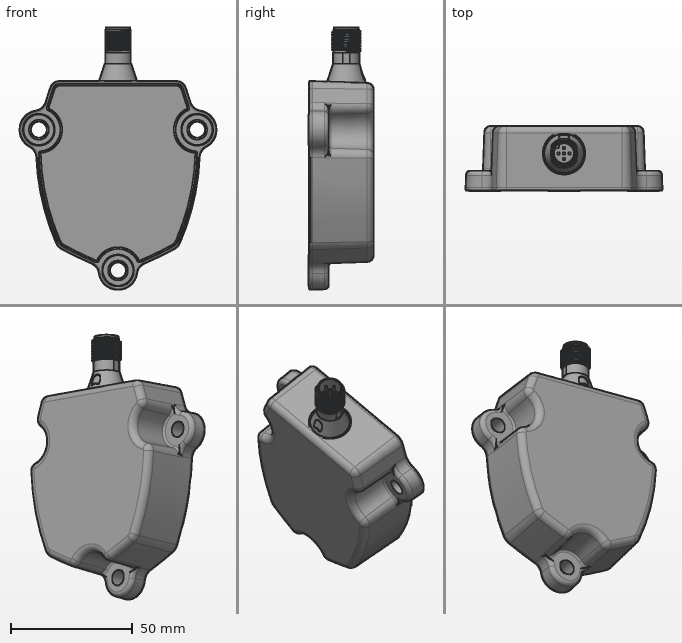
import cadquery as cq
import math

total_width = 81.0
total_depth = 27.0
total_height = 107.8

lug_radius = 8.0
lug_x = total_width / 2 - lug_radius
side_lug_z = 65.8
lug_back_y = 8.5
lug_back_fillet = 1.9
lug_blend = 5.0
lug_hole_radius = 3.2
lug_hole_chamfer = 0.9
chamfer_angle = 45.0
lug_pad_radius = 6.3
lug_centres = [(-lug_x, side_lug_z), (lug_x, side_lug_z), (0, lug_radius)]

rim_y = 0.3
front_fillet = 0.6
draft_angle = 2.0
draft_start_y = 1.7
back_fillet = 2.9
top_z = 85.8
top_corner_x = 27.0
shoulder_x = 33.4
side_mid = (32.1, 41.2)
bottom_corner = (24.7, 17.6)
bottom_mid = (12.1, 11.3)
bottom_z = 6.5
top_corner_fillet = 4.3
bottom_corner_fillet = 6.0
notch_radius = 7.5
notch_corner_fillet = 4.3
notch_floor_fillet = 0.9
cove_trim = 0.3

cover_margin = 1.2
cover_lug_clearance = 8.8
cover_depth = 0.8
cover_wall_slope = 45.0
cover_corner_fillet = 0.9

connector_y = 15.6
cone_top_z = 92.8
cone_bottom_z = 84.1
cone_bottom_radius = 8.4
neck_radius = 5.5
flat_x = 5.3
seat_radius = 8.7
seat_z = 85.1
tip_radius = 5.1
tip_length = 1.1
thread_radius = 6.0
thread_pitch = 1.0
thread_bottom_z = 97.9
thread_turns = 8.5
thread_core_radius = 5.3
thread_width_share = 0.9
bore_radius = 4.5
bore_depth = 8.6
bore_step_radius = 4.1
bore_step_depth = 7.0
pin_radius = 0.5
pin_spacing = 2.3
pin_tip_drop = 1.3
key_radius = 0.9
key_angle = 135.0
mark_length = 4.3
mark_width = 1.3
mark_offset = 6.7
mark_depth = 0.3

join_overlap = 0.1
pick_margin = 0.01


def mirrored(point):
    return (-point[0], point[1])


def round_corners(outline, corners, radius):
    """Fillet the outline corners nearest to the given points."""
    face = cq.Face.makeFromWires(outline)
    for x, z in corners:
        corner = cq.Workplane(face).vertices(cq.NearestToPointSelector((x, z, 0))).val()
        face = face.fillet2D(radius, [corner])
    return face.outerWire()


def lug_discs(radius):
    """Discs around the lug centres, with their seams turned away from the housing corners."""
    discs = cq.Workplane("XY")
    for x, z in lug_centres:
        disc = cq.Workplane("XY").circle(radius).extrude(1.1).rotate((0, 0, 0), (0, 0, 1), 45)
        discs = discs.union(disc.translate((x, z, 0)))
    return discs


def slab(outline):
    """Plate of unit thickness, used to combine outlines."""
    return cq.Workplane("XY").add(outline).toPending().extrude(1.1)


def slab_outline(plate):
    return plate.faces("<Z").wires().val()


def make_housing_outline():
    """Shield shape with rounded top and bottom corners; its lowest point lies inside a lug."""
    top_corner = (top_corner_x, top_z)
    shoulder = (shoulder_x, side_lug_z)
    outline = (
        cq.Workplane("XY")
        .moveTo(*mirrored(top_corner))
        .lineTo(*top_corner)
        .lineTo(*shoulder)
        .threePointArc(side_mid, bottom_corner)
        .threePointArc(bottom_mid, (0, bottom_z))
        .threePointArc(mirrored(bottom_mid), mirrored(bottom_corner))
        .threePointArc(mirrored(side_mid), mirrored(shoulder))
        .close()
        .val()
    )
    outline = round_corners(outline, [top_corner, mirrored(top_corner)], top_corner_fillet)
    return round_corners(outline, [bottom_corner, mirrored(bottom_corner)], bottom_corner_fillet)


def outline_without_lugs(outline, clearance, corner_fillet):
    """Cut round bays at the lugs; shrinking then growing rounds the outward corners."""
    notched = slab_outline(slab(outline).cut(lug_discs(clearance)))
    return notched.offset2D(-corner_fillet)[0].offset2D(corner_fillet)[0]


def outline_with_lugs(outline):
    """Add the lugs; growing then shrinking blends them into the housing sides."""
    joined = slab_outline(slab(outline).union(lug_discs(lug_radius)))
    return joined.offset2D(lug_blend)[0].offset2D(-lug_blend)[0]


def extrude_back(outline, y, depth, taper=0):
    """Stand the outline upright at depth y and extrude it towards +Y, narrowing by the taper."""
    solid = cq.Workplane("XY").add(outline).toPending().extrude(depth, taper=taper)
    return solid.rotate((0, 0, 0), (1, 0, 0), 90).mirror("XZ").translate((0, y, 0))


def lug_cylinders(radius, y, depth, taper=0):
    """Round columns on the lug axes, from y towards +Y."""
    column = cq.Workplane("XY").circle(radius).extrude(depth, taper=taper)
    column = column.rotate((0, 0, 0), (1, 0, 0), -90).translate((0, y, 0))
    columns = cq.Workplane("XY")
    for x, z in lug_centres:
        columns = columns.union(column.translate((x, 0, z)))
    return columns


def drafted(outline, back_y, edge_fillet):
    """Straight-sided rim, then drafted walls up to a back face with a rounded edge."""
    rim = extrude_back(outline, rim_y, draft_start_y - rim_y)
    walls = extrude_back(outline, draft_start_y, back_y - draft_start_y, draft_angle)
    return rim.union(walls.faces(">Y").edges().fillet(edge_fillet))


def make_coves(outline, notched):
    """Coves where the bay walls rise from the lug backs, kept just inside the housing sides."""
    shelf_depth = lug_back_y - rim_y
    shelf = cq.Workplane("XY").box(2 * total_width, shelf_depth, 2 * total_height)
    shelf = shelf.translate((0, rim_y + shelf_depth / 2, total_height / 2))
    walls = extrude_back(notched, draft_start_y, total_depth - draft_start_y, draft_angle)
    foot = cq.selectors.BoxSelector(
        (-total_width / 2, lug_back_y - pick_margin, 0),
        (total_width / 2, lug_back_y + pick_margin, total_height),
    )
    coved = shelf.union(walls).edges(foot).fillet(notch_floor_fillet)
    trim = outline.offset2D(-cove_trim)[0]
    return coved.intersect(extrude_back(trim, lug_back_y - cove_trim, notch_floor_fillet + cove_trim))


def make_housing():
    outline = make_housing_outline()
    notched = outline_without_lugs(outline, notch_radius, notch_corner_fillet)
    shell = drafted(notched, total_depth, back_fillet)
    base = drafted(outline_with_lugs(outline), lug_back_y, lug_back_fillet)
    body = shell.union(base).union(make_coves(outline, notched))
    body = body.faces("<Y").edges().fillet(front_fillet)
    return body.cut(make_cover_recess(outline))


def make_cover_recess(outline):
    """Shallow sloped-wall recess that swings around the lugs."""
    opening = outline.offset2D(-cover_margin)[0]
    opening = outline_without_lugs(opening, cover_lug_clearance, cover_corner_fillet)
    return extrude_back(opening, rim_y, cover_depth, cover_wall_slope)


def add_lug_details(body):
    """Raised contact pads and chamfered through holes."""
    pads = lug_cylinders(lug_pad_radius + rim_y, 0, rim_y + join_overlap)
    pads = pads.faces("<Y").edges().chamfer(rim_y)
    body = body.union(pads)
    holes = lug_cylinders(lug_hole_radius, 0, total_depth)
    sinks = lug_cylinders(lug_hole_radius + lug_hole_chamfer, 0, lug_hole_chamfer, chamfer_angle)
    return body.cut(holes).cut(sinks)


def revolved(profile):
    """Solid of revolution about Z from (radius, z) points."""
    return cq.Workplane("XZ").polyline(profile).close().revolve(360, (0, 0, 0), (0, 1, 0))


def make_thread():
    length = thread_turns * thread_pitch
    path = cq.Wire.makeHelix(thread_pitch, length, thread_core_radius)
    root = thread_core_radius - join_overlap
    half = thread_width_share * thread_pitch / 2
    ridge = cq.Workplane("XZ").polyline([(root, -half), (thread_radius, 0), (root, half)]).close()
    return ridge.sweep(path, isFrenet=True).translate((0, 0, thread_bottom_z))


def make_cone():
    return revolved([
        (0, cone_bottom_z),
        (cone_bottom_radius, cone_bottom_z),
        (neck_radius, cone_top_z),
        (0, cone_top_z),
    ])


def make_mark():
    """Rounded slot sunk a little way into the back of the cone."""
    height = cone_top_z - cone_bottom_z
    slot = cq.Workplane("XY", origin=(0, mark_offset, cone_bottom_z)).slot2D(mark_length, mark_width)
    return slot.extrude(height).cut(make_cone().translate((0, 0, -mark_depth)))


def make_socket():
    """Stepped bore with its keying rib and five pins."""
    floor_z = total_height - bore_depth
    step_z = total_height - bore_step_depth
    bore = revolved([
        (0, floor_z),
        (bore_step_radius, floor_z),
        (bore_step_radius, step_z),
        (bore_radius, step_z),
        (bore_radius, total_height),
        (0, total_height),
    ])
    pin_length = bore_depth - pin_tip_drop
    pin_places = [(0, 0), (pin_spacing, 0), (-pin_spacing, 0), (0, pin_spacing), (0, -pin_spacing)]
    pins = cq.Workplane("XY", origin=(0, 0, floor_z)).pushPoints(pin_places).circle(pin_radius)
    key_place = (
        bore_step_radius * math.cos(math.radians(key_angle)),
        bore_step_radius * math.sin(math.radians(key_angle)),
    )
    key = cq.Workplane("XY", origin=(0, 0, floor_z)).pushPoints([key_place]).circle(key_radius)
    return bore.cut(pins.extrude(pin_length)).cut(key.extrude(pin_length))


def make_connector():
    tip_start_z = total_height - tip_length
    neck_end_z = thread_bottom_z - thread_width_share * thread_pitch / 2
    neck = revolved([
        (0, cone_top_z),
        (neck_radius, cone_top_z),
        (neck_radius, neck_end_z),
        (thread_core_radius, neck_end_z),
        (thread_core_radius, tip_start_z),
        (tip_radius, tip_start_z),
        (tip_radius, total_height),
        (0, total_height),
    ])
    between_flats = cq.Workplane("XY").box(
        2 * flat_x,
        2 * cone_bottom_radius,
        total_height,
        centered=(True, True, False),
    )
    threaded = neck.union(make_thread()).intersect(between_flats)
    connector = make_cone().cut(make_mark()).union(threaded)
    return connector.cut(make_socket()).translate((0, connector_y, 0))


def add_connector(body):
    seat = cq.Workplane("XY", origin=(0, connector_y, seat_z)).circle(seat_radius)
    body = body.cut(seat.extrude(total_height - seat_z))
    return body.union(make_connector())


result = add_connector(add_lug_details(make_housing()))